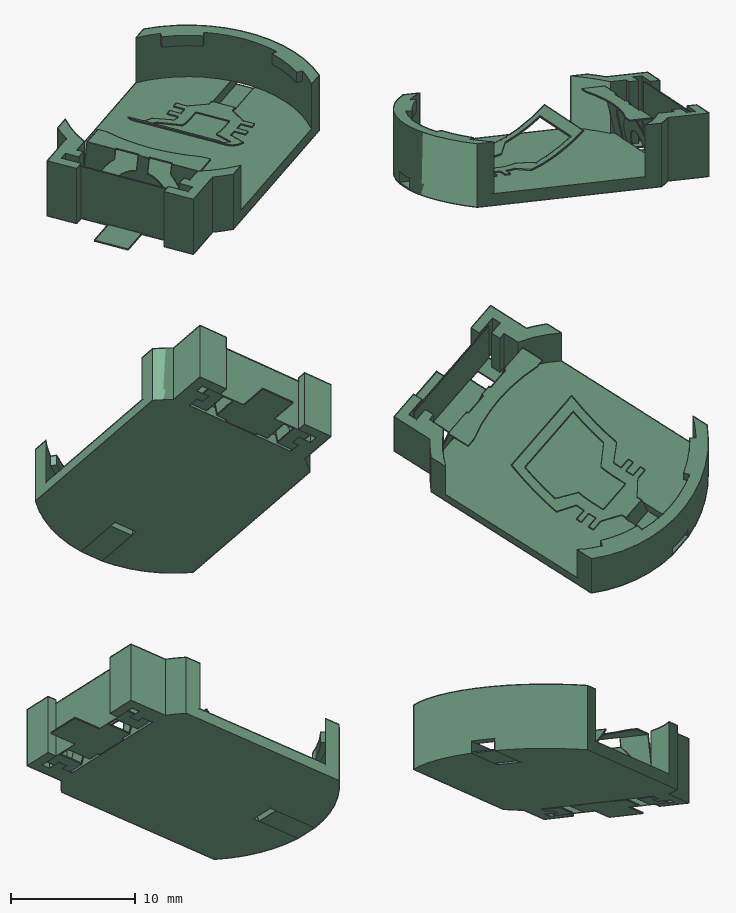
import math

import cadquery as cq


body_width = 15.6
half_width = body_width / 2
body_height = 5.3
base_thickness = 1.0
wall_outer_radius = 11.25
wall_inner_radius = 10.25
front_arc_centre_y = 0.25
leg_half_width = 6.5
leg_front_y = -12.52
flange_inner_x = 3.87
pocket_rear_y = -9.05

tab_inner_radius = 9.75
tab_height = 1.0
tab_start_angle = 18.3
tab_end_angle = 37.9

nib_inner_x = 4.45
nib_rear_y = -10.08
slot_rear_y = -10.92
slot_front_y = -11.68
slot_outer_x = 5.62

sheet = 0.1

contact_half_width = 5.01
contact_height = 5.0
contact_front_y = slot_front_y
plate_inner_y = contact_front_y + sheet
slope_foot_y = -9.4
slope_head_y = -8.22
lip_end_y = -6.24
lip_arc_half_width = 4.22
lip_arc_depth = 0.6
cutout_depth = 3.5
arch_centre_z = base_thickness
tongue_half_width = 1.5
window_inner_radius = 2.7
window_outer_radius = 4.0
window_outer_x = 3.49
window_inner_x = 2.5
window_gap_half_width = 0.48
solder_tail_rear_y = -9.14
solder_tail_front_y = -14.2

spring_top_z = base_thickness + 2 * sheet
spring_bend_y = 3.55
spring_tip_y = -2.6
spring_tip_z = 4.3
spring_tip_slope = 44
spring_start_handle = 1.78
spring_tip_handle = 2.42
ramp_top_y = 6.57
ramp_foot_y = 7.2
stem_half_width = 1.05
shoulder_y = 6.1
prong_length = 0.48
rear_prong_y = 5.12
front_prong_y = 3.92
prong_half_width = 3.49
neck_half_width = 2.5
loop_half_width = 4.05
loop_outer_top_y = 2.7
loop_outer_bottom_y = 1.85
opening_rear_y = 4.63
opening_half_width = 1.5
opening_wide_half_width = 3.25
opening_top_y = 2.16
opening_bottom_y = 1.15
opening_front_y = -1.88


def arc_height(radius, x):
    """Height of a circle's edge above its centre at the sideways distance x."""
    return math.sqrt(radius**2 - x**2)


def mirrored(half_outline):
    """Close a right-hand outline with its mirror image across X = 0."""
    return half_outline + [(-x, y) for x, y in reversed(half_outline)]


def offset_path(path, distance):
    """Shift an open path to its right-hand side, with mitred corners."""
    headings = [math.atan2(b[1] - a[1], b[0] - a[0]) for a, b in zip(path, path[1:])]
    before = headings[:1] + headings
    after = headings + headings[-1:]
    shifted = []
    for (u, v), first, second in zip(path, before, after):
        middle = (first + second) / 2
        reach = distance / math.cos((second - first) / 2)
        shifted.append((u + reach * math.sin(middle), v - reach * math.cos(middle)))
    return shifted


def extrude_across(profile, half_length):
    """Extrude a YZ profile evenly to both sides of X = 0."""
    return profile.extrude(2 * half_length).translate((-half_length, 0, 0))


def box(x_min, x_max, y_min, y_max, z_min, z_max):
    size = (x_max - x_min, y_max - y_min, z_max - z_min)
    return cq.Workplane("XY").box(*size, centered=False).translate((x_min, y_min, z_min))




def body_outline():
    """Plan outline: an arc behind, straight sides, arc shoulders and a narrower front."""
    rear_y = arc_height(wall_outer_radius, half_width)
    side_y = front_arc_centre_y - rear_y
    leg_y = front_arc_centre_y - arc_height(wall_outer_radius, leg_half_width)
    shoulder_x = (half_width + leg_half_width) / 2
    shoulder_mid_y = front_arc_centre_y - arc_height(wall_outer_radius, shoulder_x)
    return (
        cq.Workplane("XY")
        .moveTo(-half_width, rear_y)
        .threePointArc((0, wall_outer_radius), (half_width, rear_y))
        .lineTo(half_width, side_y)
        .threePointArc((shoulder_x, shoulder_mid_y), (leg_half_width, leg_y))
        .lineTo(leg_half_width, leg_front_y)
        .lineTo(-leg_half_width, leg_front_y)
        .lineTo(-leg_half_width, leg_y)
        .threePointArc((-shoulder_x, shoulder_mid_y), (-half_width, side_y))
        .close()
    )


def cell_space():
    """Room for the cell: two offset round ends with a straight stretch between them."""
    rear = cq.Workplane("XY").circle(wall_inner_radius).extrude(body_height)
    front = rear.translate((0, front_arc_centre_y, 0))
    middle_y = front_arc_centre_y / 2
    far = 2 * body_width
    rear = rear.intersect(box(-far, far, middle_y, far, 0, body_height))
    front = front.intersect(box(-far, far, -far, middle_y, 0, body_height))
    return rear.union(front)


def front_opening(rear_y):
    """Opening between the legs, with its nibs and slots, from rear_y to the front."""
    half_outline = [
        (contact_half_width, rear_y),
        (contact_half_width, nib_rear_y),
        (nib_inner_x, nib_rear_y),
        (nib_inner_x, slot_rear_y),
        (slot_outer_x, slot_rear_y),
        (slot_outer_x, slot_front_y),
        (flange_inner_x, slot_front_y),
        (flange_inner_x, leg_front_y),
    ]
    return cq.Workplane("XY").polyline(mirrored(half_outline)).close().extrude(body_height)


def hold_down_tab(side):
    """Curved tab on the rear wall; side is +1 for +X and -1 for -X."""

    def at(radius, angle):
        turn = math.radians(angle)
        return (side * radius * math.sin(turn), radius * math.cos(turn))

    middle_angle = (tab_start_angle + tab_end_angle) / 2
    return (
        cq.Workplane("XY")
        .workplane(offset=body_height - tab_height)
        .moveTo(*at(tab_inner_radius, tab_start_angle))
        .threePointArc(at(tab_inner_radius, middle_angle), at(tab_inner_radius, tab_end_angle))
        .lineTo(*at(wall_inner_radius, tab_end_angle))
        .threePointArc(at(wall_inner_radius, middle_angle), at(wall_inner_radius, tab_start_angle))
        .close()
        .extrude(tab_height)
    )


def make_housing():
    base = body_outline().extrude(base_thickness).cut(front_opening(pocket_rear_y))
    walls = body_outline().extrude(body_height - base_thickness).translate((0, 0, base_thickness))
    walls = walls.cut(cell_space()).cut(front_opening(0))
    housing = base.union(walls, clean=False)
    for side in (-1, 1):
        housing = housing.union(hold_down_tab(side), clean=False)
    stem_channel = box(
        -stem_half_width, stem_half_width, ramp_top_y, wall_outer_radius, 0, base_thickness
    )
    return housing.cut(stem_channel, clean=False)




def contact_strip():
    """Front plate, bottom, slope and top lip, bent from one sheet."""
    path = [
        (plate_inner_y, contact_height),
        (plate_inner_y, sheet),
        (slope_foot_y, sheet),
        (slope_head_y, contact_height),
        (lip_end_y, contact_height),
    ]
    outline = path + offset_path(path, sheet)[::-1]
    return extrude_across(cq.Workplane("YZ").polyline(outline).close(), contact_half_width)


def lip_hollow():
    """Shallow arc in the lip's edge, facing the cell."""
    return (
        cq.Workplane("XY")
        .moveTo(-lip_arc_half_width, lip_end_y)
        .threePointArc((0, lip_end_y - lip_arc_depth), (lip_arc_half_width, lip_end_y))
        .close()
        .extrude(body_height)
    )


def cut_block(outline):
    """Extrude an XZ outline rearward from the front plate's inner face."""
    return outline.extrude(-cutout_depth).translate((0, plate_inner_y, 0))


def tongue_cutout():
    """Round-topped opening left where the solder tail was bent down."""
    return cut_block(
        cq.Workplane("XZ")
        .moveTo(-tongue_half_width, 0)
        .lineTo(-tongue_half_width, arch_centre_z)
        .threePointArc(
            (0, arch_centre_z + tongue_half_width), (tongue_half_width, arch_centre_z)
        )
        .lineTo(tongue_half_width, 0)
        .close()
    )


def window_cutout(side):
    """Curved window beside the tongue; side is +1 for +X and -1 for -X."""

    def on_arc(radius, x):
        return (side * x, arch_centre_z + arc_height(radius, x))

    inner_middle_x = (window_gap_half_width + window_inner_x) / 2
    outer_middle_x = (window_inner_x + window_outer_x) / 2
    return cut_block(
        cq.Workplane("XZ")
        .moveTo(side * window_inner_x, 0)
        .lineTo(*on_arc(window_inner_radius, window_inner_x))
        .threePointArc(
            on_arc(window_inner_radius, inner_middle_x),
            on_arc(window_inner_radius, window_gap_half_width),
        )
        .lineTo(side * window_gap_half_width, contact_height)
        .lineTo(side * window_inner_x, contact_height)
        .lineTo(*on_arc(window_outer_radius, window_inner_x))
        .threePointArc(
            on_arc(window_outer_radius, outer_middle_x),
            on_arc(window_outer_radius, window_outer_x),
        )
        .lineTo(side * window_outer_x, 0)
        .close()
    )


def make_front_contact():
    contact = contact_strip().cut(lip_hollow()).cut(tongue_cutout(), clean=False)
    for side in (-1, 1):
        contact = contact.cut(window_cutout(side), clean=False)
        nib_edges = sorted((side * nib_inner_x, side * contact_half_width))
        contact = contact.cut(box(*nib_edges, slot_rear_y, nib_rear_y, 0, sheet), clean=False)
    solder_tail = box(
        -tongue_half_width, tongue_half_width, solder_tail_front_y, solder_tail_rear_y, 0, sheet
    )
    return contact.union(solder_tail, clean=False)




def spring_strip():
    """Side profile: a rising curved tongue, a flat, a ramp and the stem in its channel."""
    tip_turn = math.radians(spring_tip_slope)
    curve = [
        (spring_tip_y, spring_tip_z),
        (
            spring_tip_y + spring_tip_handle * math.cos(tip_turn),
            spring_tip_z - spring_tip_handle * math.sin(tip_turn),
        ),
        (spring_bend_y - spring_start_handle, spring_top_z),
        (spring_bend_y, spring_top_z),
    ]
    stem_end_y = arc_height(wall_outer_radius, stem_half_width)
    bends = [(ramp_top_y, spring_top_z), (ramp_foot_y, sheet), (stem_end_y, sheet)]
    underside = offset_path(curve + bends, sheet)
    profile = cq.Workplane("YZ").moveTo(*curve[0]).bezier(curve)
    for point in bends:
        profile = profile.lineTo(*point)
    for point in underside[: len(curve) - 2 : -1]:
        profile = profile.lineTo(*point)
    profile = profile.bezier(underside[len(curve) - 1 :: -1]).close()
    return extrude_across(profile, loop_half_width)


def spring_blank():
    """Flat plan of the spring: stem, two pairs of prongs and an open loop."""
    tip_clearance_y = spring_tip_y - sheet
    outer = [
        (stem_half_width, wall_outer_radius),
        (stem_half_width, shoulder_y),
    ]
    for prong_y in (rear_prong_y, front_prong_y):
        outer += [
            (neck_half_width, prong_y),
            (prong_half_width, prong_y),
            (prong_half_width, prong_y - prong_length),
            (neck_half_width, prong_y - prong_length),
        ]
    outer += [
        (neck_half_width, loop_outer_top_y),
        (loop_half_width, loop_outer_bottom_y),
        (loop_half_width, tip_clearance_y),
    ]
    opening = [
        (opening_half_width, opening_rear_y),
        (opening_half_width, opening_top_y),
        (opening_wide_half_width, opening_bottom_y),
        (opening_wide_half_width, opening_front_y),
    ]
    return (
        cq.Workplane("XY")
        .polyline(mirrored(outer))
        .close()
        .polyline(mirrored(opening))
        .close()
        .extrude(body_height)
    )


def make_cell_spring():
    return spring_strip().intersect(spring_blank(), clean=False)


housing = make_housing()
front_contact = make_front_contact()
cell_spring = make_cell_spring()

bodies = [housing, front_contact, cell_spring]
result = cq.Compound.makeCompound([body.solids().val() for body in bodies])